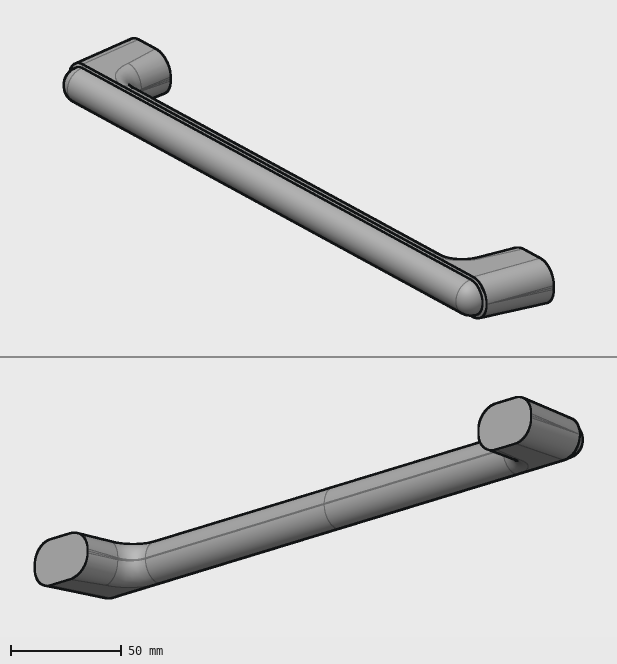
import cadquery as cq
import math


length = 318.0
depth = 44.5
back_height = 22.0
front_height = 20.0

grip_radius = 8.5
grip_end_x = length / 2 - 15.0
seam_y = grip_radius - depth

rim_depth = 0.5
rim_y = seam_y + rim_depth
outer_lean = 4.0
inner_lean = 4.6
bend_radius = 9.2
nose_depth = 8.5
foot_nose_depth = 11.5
bend_center_x = length / 2 - 44.5
rail_back_y = -26.5
bend_center_y = rail_back_y + bend_radius
edge_radius = bend_radius + nose_depth

half_height = front_height / 2
taper = math.degrees(math.atan2(back_height / 2 - half_height, -rim_y))
stock = 1.5
back_y = stock
front_y = rim_y - stock


def bend_point(radius, angle):
    """Point of the right-hand bend at a radius and an angle in degrees from +X."""
    turn = math.radians(angle)
    return (bend_center_x + radius * math.cos(turn), bend_center_y + radius * math.sin(turn))


def outer_end_x(y):
    return length / 2 - outer_lean * y / rim_y


def inner_face_x(y):
    """Inner face of the right foot, tangent to the bend."""
    start_x, start_y = bend_point(bend_radius, -inner_lean)
    return start_x + (y - start_y) * math.tan(math.radians(inner_lean))


foot_edge_back = (inner_face_x(back_y) + foot_nose_depth, back_y)
foot_edge_front = bend_point(edge_radius, -inner_lean)
rail_edge = bend_point(edge_radius, -90)


def nose_section(edge_point, angle, width):
    """Quarter-ellipse wire standing at edge_point, pointing along an angle from +X."""
    turn = math.radians(angle)
    plane = cq.Plane(
        origin=(*edge_point, 0),
        xDir=(math.cos(turn), math.sin(turn), 0),
        normal=(math.sin(turn), -math.cos(turn), 0),
    )
    return (
        cq.Workplane(plane)
        .moveTo(0, -stock)
        .lineTo(width, -stock)
        .lineTo(width, 0)
        .ellipseArc(width, half_height, 0, 90, startAtCurrent=True)
        .close()
    )


def flat_core():
    """Right half of the bracket without its rounded inner edge."""
    core = (
        cq.Workplane("XY", origin=(0, 0, -stock))
        .moveTo(0, front_y)
        .lineTo(outer_end_x(front_y), front_y)
        .lineTo(outer_end_x(back_y), back_y)
        .lineTo(*foot_edge_back)
        .lineTo(*foot_edge_front)
        .threePointArc(bend_point(edge_radius, -45), rail_edge)
        .lineTo(0, rail_edge[1])
        .close()
        .extrude(half_height + stock)
    )
    mid_y = rim_y / 2
    outer_edge = cq.selectors.NearestToPointSelector((outer_end_x(mid_y), mid_y, half_height))
    return core.edges(outer_edge).fillet(half_height)


def foot_nose():
    back = nose_section(foot_edge_back, 180, foot_nose_depth).wire().val()
    front = nose_section(foot_edge_front, 180 - inner_lean, nose_depth).wire().val()
    return cq.Workplane(cq.Solid.makeLoft([back, front], True))


def bend_nose():
    section = nose_section(foot_edge_front, 180 - inner_lean, nose_depth)
    return section.revolve(90 - inner_lean, (edge_radius, 0), (edge_radius, -1))


def rail_nose():
    return nose_section((0, rail_edge[1]), 90, nose_depth).extrude(bend_center_x)


def bracket_half():
    """Bracket half above the mid plane, tapered and trimmed."""
    right = flat_core().union(foot_nose()).union(bend_nose()).union(rail_nose())
    whole = right.union(right.mirror("YZ"))
    tilted = whole.rotate((0, rim_y, 0), (1, rim_y, 0), taper)
    envelope = cq.Workplane("XY").box(2 * length, -rim_y, back_height, centered=(True, False, False))
    return tilted.intersect(envelope.translate((0, rim_y, 0)))


def seam_rim():
    """Bevelled front of the bracket, narrowing to the outline of the grip."""
    return (
        cq.Workplane("XZ", origin=(0, rim_y, 0))
        .slot2D(2 * outer_end_x(rim_y), front_height)
        .workplane(offset=rim_depth)
        .slot2D(2 * (grip_end_x + grip_radius), 2 * grip_radius)
        .loft(ruled=True)
    )


def make_bracket():
    upper = bracket_half()
    return upper.union(upper.mirror("XY")).union(seam_rim())


def make_grip():
    """Half-round bar with quarter-ball ends and a flat back on the seam."""
    ball_point = grip_radius * math.sqrt(0.5)
    return (
        cq.Workplane("XZ", origin=(0, seam_y, 0))
        .moveTo(-grip_end_x - grip_radius, 0)
        .threePointArc((-grip_end_x - ball_point, ball_point), (-grip_end_x, grip_radius))
        .lineTo(grip_end_x, grip_radius)
        .threePointArc((grip_end_x + ball_point, ball_point), (grip_end_x + grip_radius, 0))
        .close()
        .revolve(180, (0, 0), (1, 0))
    )


bracket = make_bracket()
grip = make_grip()

result = cq.Compound.makeCompound([*bracket.solids().vals(), grip.val()])